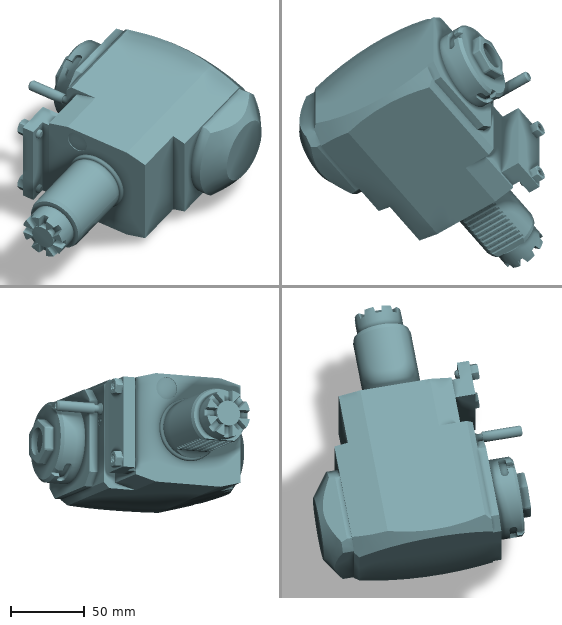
import cadquery as cq
import math


HALF_HEIGHT = 37.5
TAPER_ANGLE = 15
TAPER_START_X = 24.0
BACK_Y = 114.0
STEP_Y = 35.0
HOUSING_LEFT_X = -47.3
HOUSING_RIGHT_X = 48.2
HOUSING_LEFT_CHAMFER = 4.0
HOUSING_BACK_CHAMFER = 3.1
NECK_HALF_WIDTH = 39.0
CROWN_RADIUS = 116.5
CROWN_CENTER_X = -9.1
CROWN_BEVEL = 14.5

SPINDLE_Y = 80.0
PLATE_LEFT_X = -53.0
PLATE_FRONT_Y = 46.0
PLATE_CORNER = 8.5
COLLAR_LEFT_X = -70.6
COLLAR_RADIUS = 27.5
COLLAR_CHAMFER = 2.0
COLLAR_GAP = 0.7
COLLAR_GAP_DEPTH = 1.0
BAYONET_SLOTS = 3
BAYONET_FLOOR_RADIUS = 24.4
BAYONET_SLOT_WIDTH = 5.3
BAYONET_SLOT_X = -62.6
BAYONET_HALF_SPAN = 20
BAYONET_NOTCH_WIDTH = 6.0
HEX_LEFT_X = -77.2
HEX_FLATS = 27.1
HEX_CORNER_RADIUS = 15.3
HEX_CHAMFER = 0.5
HEX_BORE_RADIUS = 9.5
HEX_BORE_DEPTH = 4.4

COVER_RIGHT_X = 67.2
COVER_RIM_X = 55.7
COVER_RADIUS = 37.5
COVER_END_RADIUS = 21.8
COVER_HALF_HEIGHT = 29.7
COVER_TAPER_X = 51.7
COVER_BACK_Y = 110.0

SHANK_RADIUS = 20.0
SHANK_END_Y = -53.1
SHANK_CHAMFER_LENGTH = 3.0
SHANK_CHAMFER_DEPTH = 1.0
SHANK_ROOT_Y = -4.0
RING_RADIUS = 21.5
RING_WIDTH = 2.5
RING_FILLET = 1.6
RELIEF_RADIUS = 19.5
RACK_Z = -15.8
RACK_PITCH = 4.0
RACK_GROOVES = 10
RACK_FIRST_Y = -11.8
RACK_DEPTH = 1.0
RACK_OPEN_WIDTH = 2.7
RACK_FLOOR_WIDTH = 1.5

NUT_RADIUS = 16.0
NUT_BACK_Y = -54.0
NUT_FRONT_Y = -68.0
NUT_NECK_RADIUS = 12.7
NUT_CORE_RADIUS = 8.5
NUT_SLOTS = 8
NUT_SLOT_DEPTH = 4.5
NUT_SLOT_FLOOR = 4.0
NUT_SLOT_OPENING = 5.8

BAR_LEFT_X = PLATE_LEFT_X
BAR_LIP_X = -44.5
BAR_HALF_HEIGHT = 31.1
BAR_BACK_Y = 13.8
BAR_SHOULDER_Y = 0.5
BAR_FRONT_Y = -11.1
BOLT_Y = -5.0
BOLT_Z = 25.1
BOLT_FLATS = 10.0
BOLT_HEAD = 5.3
BOLT_CORNER_CHAMFER = 0.82
BOLT_TIP_RADIUS = 3.1
BOLT_TIP = 2.4
BOLT_TIP_CHAMFER = 1.0
BOLT_RECESS_RADIUS = 3.1
BOLT_RECESS_DEPTH = 0.5
BOLT_SOCKET_FLATS = 4.0
BOLT_SOCKET_DEPTH = 2.2

PIN_Y = 40.4
PIN_Z = 17.8
PIN_LEFT_X = -80.3
PIN_RIGHT_X = -53.0
PIN_RADIUS = 3.6
PIN_CHAMFER = 1.1
PIN_NECK_RADIUS = 2.5
PIN_SEAT_X = -49.7
PIN_SEAT_RADIUS = 4.2
PIN_BORE_RADIUS = 2.2
PIN_BORE_DEPTH = 0.5
PLUG_Z = 10.2
PLUG_RADIUS = 4.0
PLUG_DEPTH = 0.2
PLUG_HOLE_RADIUS = 1.1
PLUG_HOLE_DEPTH = 1.5
RECESS_X = -16.0
RECESS_Z = 27.7
RECESS_RADIUS = 7.6
RECESS_DEPTH = 0.5

OVERLAP = 1.0


def taper_drop(length):
    """Height lost over a length of tapered face."""
    return length * math.tan(math.radians(TAPER_ANGLE))


def spindle_plane(x, y=SPINDLE_Y, z=0):
    """Plane at x facing +X, with local x along Y and local y along Z."""
    return cq.Workplane("YZ", origin=(x, y, z))


def disc_x(x_start, x_end, radius, y=SPINDLE_Y, z=0):
    return spindle_plane(x_start, y, z).circle(radius).extrude(x_end - x_start)


def disc_y(y_start, y_end, radius, x=0, z=0):
    """Cylinder along Y; y_start is the end nearer -Y."""
    return cq.Workplane("XZ", origin=(x, y_end, z)).circle(radius).extrude(y_end - y_start)


def prism_y(points, y_start, y_end):
    """XZ outline extruded between two Y positions."""
    return cq.Workplane("XZ", origin=(0, y_end, 0)).polyline(points).close().extrude(y_end - y_start)


def mirrored_in_z(upper_points):
    """Closed outline from its upper half, listed left to right."""
    return upper_points + [(x, -z) for x, z in reversed(upper_points)]


def crown_limit(side):
    """Large bevelled drum that rounds the upper (+1) or lower (-1) back edge of the housing."""
    left_corner_z = HALF_HEIGHT - HOUSING_LEFT_CHAMFER
    center_z = side * (left_corner_z - CROWN_RADIUS)
    drum = disc_y(STEP_Y - OVERLAP, BACK_Y, CROWN_RADIUS + CROWN_BEVEL, CROWN_CENTER_X, center_z)
    return drum.faces(">Y").chamfer(CROWN_BEVEL)


def make_housing():
    right_z = HALF_HEIGHT - taper_drop(HOUSING_RIGHT_X - TAPER_START_X)
    main_outline = mirrored_in_z([
        (HOUSING_LEFT_X, HALF_HEIGHT - HOUSING_LEFT_CHAMFER),
        (HOUSING_LEFT_X + HOUSING_LEFT_CHAMFER, HALF_HEIGHT),
        (TAPER_START_X, HALF_HEIGHT),
        (HOUSING_RIGHT_X, right_z),
    ])
    main = prism_y(main_outline, STEP_Y, BACK_Y)
    main = main.faces(">X").edges(">Y").chamfer(HOUSING_BACK_CHAMFER)
    main = main.intersect(crown_limit(1)).intersect(crown_limit(-1))

    neck_z = HALF_HEIGHT - taper_drop(NECK_HALF_WIDTH - TAPER_START_X)
    neck_outline = mirrored_in_z([
        (-NECK_HALF_WIDTH, neck_z),
        (-TAPER_START_X, HALF_HEIGHT),
        (TAPER_START_X, HALF_HEIGHT),
        (NECK_HALF_WIDTH, neck_z),
    ])
    neck = prism_y(neck_outline, 0, STEP_Y)
    recess = disc_y(0, RECESS_DEPTH, RECESS_RADIUS, RECESS_X, RECESS_Z)
    return main.union(neck).cut(recess)


def make_plate():
    half_height = HALF_HEIGHT - HOUSING_LEFT_CHAMFER
    plate = cq.Workplane("XY").box(
        HOUSING_LEFT_X - PLATE_LEFT_X, BACK_Y - PLATE_FRONT_Y, 2 * half_height, centered=False
    ).translate((PLATE_LEFT_X, PLATE_FRONT_Y, -half_height))
    return plate.edges("|X").chamfer(PLATE_CORNER)


def bayonet_cut(angle):
    """Curved slot in the collar rim plus the notch joining it to the collar face."""
    outer = COLLAR_RADIUS + OVERLAP
    slot_left = BAYONET_SLOT_X - BAYONET_SLOT_WIDTH / 2
    end_angle = math.degrees(BAYONET_SLOT_WIDTH / 2 / COLLAR_RADIUS)
    sweep = math.radians(BAYONET_HALF_SPAN - end_angle)
    reach = 2 * outer
    wedge = [(0, 0), (reach, -reach * math.tan(sweep)), (reach, reach * math.tan(sweep))]
    ring = disc_x(slot_left, slot_left + BAYONET_SLOT_WIDTH, outer)
    ring = ring.cut(disc_x(slot_left, slot_left + BAYONET_SLOT_WIDTH, BAYONET_FLOOR_RADIUS))
    cut = ring.intersect(spindle_plane(slot_left).polyline(wedge).close().extrude(BAYONET_SLOT_WIDTH))
    for side in (-1, 1):
        end = cq.Workplane("XZ", origin=(BAYONET_SLOT_X, SPINDLE_Y + BAYONET_FLOOR_RADIUS, 0))
        end = end.circle(BAYONET_SLOT_WIDTH / 2).extrude(BAYONET_FLOOR_RADIUS - outer)
        end = end.rotate((0, SPINDLE_Y, 0), (1, SPINDLE_Y, 0), side * math.degrees(sweep))
        cut = cut.union(end)
    notch_depth = outer - BAYONET_FLOOR_RADIUS
    notch = cq.Workplane("XY").box(BAYONET_SLOT_X - COLLAR_LEFT_X, notch_depth, BAYONET_NOTCH_WIDTH)
    notch = notch.translate((
        (BAYONET_SLOT_X + COLLAR_LEFT_X) / 2,
        SPINDLE_Y + BAYONET_FLOOR_RADIUS + notch_depth / 2,
        0,
    ))
    return cut.union(notch).rotate((0, SPINDLE_Y, 0), (1, SPINDLE_Y, 0), angle)


def make_collar():
    gap_x = PLATE_LEFT_X - COLLAR_GAP
    collar = disc_x(COLLAR_LEFT_X, gap_x, COLLAR_RADIUS).faces("<X").chamfer(COLLAR_CHAMFER)
    for index in range(BAYONET_SLOTS):
        collar = collar.cut(bayonet_cut(index * 360 / BAYONET_SLOTS))
    core = disc_x(gap_x - OVERLAP, PLATE_LEFT_X + OVERLAP, COLLAR_RADIUS - COLLAR_GAP_DEPTH)
    return collar.union(core)


def make_hexagon():
    length = COLLAR_LEFT_X - HEX_LEFT_X + OVERLAP
    corner_diameter = HEX_FLATS / math.cos(math.pi / 6)
    hexagon = spindle_plane(HEX_LEFT_X).transformed(rotate=(0, 0, 30)).polygon(6, corner_diameter)
    hexagon = hexagon.extrude(length)
    rounding = disc_x(HEX_LEFT_X, HEX_LEFT_X + length, HEX_CORNER_RADIUS)
    hexagon = hexagon.intersect(rounding).faces("<X").chamfer(HEX_CHAMFER)
    return hexagon.cut(disc_x(HEX_LEFT_X, HEX_LEFT_X + HEX_BORE_DEPTH, HEX_BORE_RADIUS))


def make_cover():
    profile = [
        (HOUSING_RIGHT_X, 0),
        (HOUSING_RIGHT_X, COVER_RADIUS),
        (COVER_RIM_X, COVER_RADIUS),
        (COVER_RIGHT_X, COVER_END_RADIUS),
        (COVER_RIGHT_X, 0),
    ]
    dome = cq.Workplane("XY").polyline(profile).close().revolve(360, (0, 0, 0), (1, 0, 0))
    dome = dome.translate((0, SPINDLE_Y, 0))
    end_z = COVER_HALF_HEIGHT - taper_drop(COVER_RIGHT_X - COVER_TAPER_X)
    flats = mirrored_in_z([
        (HOUSING_RIGHT_X, COVER_HALF_HEIGHT),
        (COVER_TAPER_X, COVER_HALF_HEIGHT),
        (COVER_RIGHT_X, end_z),
    ])
    return dome.intersect(prism_y(flats, SPINDLE_Y - COVER_RADIUS, COVER_BACK_Y))


def make_shank():
    chamfer_y = SHANK_END_Y + SHANK_CHAMFER_LENGTH
    profile = (
        cq.Workplane("XY")
        .moveTo(0, OVERLAP)
        .lineTo(RELIEF_RADIUS, OVERLAP)
        .lineTo(RELIEF_RADIUS, -RING_WIDTH)
        .lineTo(SHANK_RADIUS, SHANK_ROOT_Y)
        .lineTo(SHANK_RADIUS, chamfer_y)
        .lineTo(SHANK_RADIUS - SHANK_CHAMFER_DEPTH, SHANK_END_Y)
        .lineTo(0, SHANK_END_Y)
        .close()
    )
    shank = profile.revolve(360, (0, 0, 0), (0, 1, 0))

    below_z = -SHANK_RADIUS - OVERLAP
    flat = [
        (SHANK_END_Y, RACK_Z),
        (SHANK_ROOT_Y - (SHANK_RADIUS + RACK_Z), RACK_Z),
        (SHANK_ROOT_Y + OVERLAP, below_z),
        (SHANK_END_Y, below_z),
    ]
    shank = shank.cut(cq.Workplane("YZ").polyline(flat).close().extrude(SHANK_RADIUS, both=True))

    groove = [
        (-RACK_OPEN_WIDTH / 2, RACK_Z),
        (-RACK_FLOOR_WIDTH / 2, RACK_Z + RACK_DEPTH),
        (RACK_FLOOR_WIDTH / 2, RACK_Z + RACK_DEPTH),
        (RACK_OPEN_WIDTH / 2, RACK_Z),
    ]
    for index in range(RACK_GROOVES):
        center = RACK_FIRST_Y - index * RACK_PITCH
        section = cq.Workplane("YZ", origin=(0, center, 0)).polyline(groove).close()
        shank = shank.cut(section.extrude(SHANK_RADIUS, both=True))

    ring = disc_y(-RING_WIDTH, OVERLAP, RING_RADIUS).faces("<Y").edges().fillet(RING_FILLET)
    return shank.union(ring)


def make_nut():
    nut = disc_y(NUT_FRONT_Y, NUT_BACK_Y, NUT_RADIUS)
    slot_floor_y = NUT_FRONT_Y + NUT_SLOT_DEPTH
    slot = [
        (-NUT_SLOT_OPENING / 2, NUT_FRONT_Y),
        (-NUT_SLOT_FLOOR / 2, slot_floor_y),
        (NUT_SLOT_FLOOR / 2, slot_floor_y),
        (NUT_SLOT_OPENING / 2, NUT_FRONT_Y),
    ]
    core = disc_y(NUT_FRONT_Y, slot_floor_y, NUT_CORE_RADIUS)
    cutter = cq.Workplane("XY").polyline(slot).close().extrude(NUT_RADIUS + OVERLAP).cut(core)
    for index in range(NUT_SLOTS):
        nut = nut.cut(cutter.rotate((0, 0, 0), (0, 1, 0), index * 360 / NUT_SLOTS))
    neck = disc_y(NUT_BACK_Y - OVERLAP, SHANK_END_Y + OVERLAP, NUT_NECK_RADIUS)
    return nut.union(neck)


def make_clamp_bar():
    outline = [
        (BAR_LEFT_X, BAR_BACK_Y),
        (-NECK_HALF_WIDTH + OVERLAP, BAR_BACK_Y),
        (-NECK_HALF_WIDTH + OVERLAP, BAR_SHOULDER_Y),
        (BAR_LIP_X, BAR_SHOULDER_Y),
        (BAR_LIP_X, BAR_FRONT_Y),
        (BAR_LEFT_X, BAR_FRONT_Y),
    ]
    return cq.Workplane("XY").polyline(outline).close().extrude(BAR_HALF_HEIGHT, both=True)


def make_bolt(z):
    head_x = BAR_LEFT_X - BOLT_HEAD
    corner_radius = BOLT_FLATS / 2 / math.cos(math.pi / 6)
    head = spindle_plane(head_x, BOLT_Y, z).polygon(6, 2 * corner_radius).extrude(BOLT_HEAD + OVERLAP)
    rounding = disc_x(head_x, BAR_LEFT_X + OVERLAP, corner_radius, BOLT_Y, z)
    head = head.intersect(rounding.faces("<X").chamfer(BOLT_CORNER_CHAMFER))
    head = head.cut(disc_x(head_x, head_x + BOLT_RECESS_DEPTH, BOLT_RECESS_RADIUS, BOLT_Y, z))
    socket_diameter = BOLT_SOCKET_FLATS / math.cos(math.pi / 6)
    socket = spindle_plane(head_x, BOLT_Y, z).polygon(6, socket_diameter).extrude(BOLT_SOCKET_DEPTH)
    tip = disc_x(BAR_LIP_X - OVERLAP, BAR_LIP_X + BOLT_TIP, BOLT_TIP_RADIUS, BOLT_Y, z)
    tip = tip.faces(">X").chamfer(BOLT_TIP_CHAMFER)
    return head.cut(socket).union(tip)


def make_coolant_pin():
    pin = disc_x(PIN_LEFT_X, PIN_RIGHT_X, PIN_RADIUS, PIN_Y, PIN_Z).faces("<X").chamfer(PIN_CHAMFER)
    neck = disc_x(PIN_RIGHT_X - OVERLAP, HOUSING_LEFT_X + OVERLAP, PIN_NECK_RADIUS, PIN_Y, PIN_Z)
    seat = disc_x(PIN_SEAT_X, HOUSING_LEFT_X + OVERLAP, PIN_SEAT_RADIUS, PIN_Y, PIN_Z)
    seat = seat.faces("<X").chamfer(PIN_SEAT_RADIUS - PIN_NECK_RADIUS)
    bore = disc_x(PIN_LEFT_X, PIN_LEFT_X + PIN_BORE_DEPTH, PIN_BORE_RADIUS, PIN_Y, PIN_Z)
    return pin.cut(bore).union(neck).union(seat)


def make_plug_cut():
    seat = disc_x(HOUSING_LEFT_X, HOUSING_LEFT_X + PLUG_DEPTH, PLUG_RADIUS, PIN_Y, PLUG_Z)
    hole = disc_x(HOUSING_LEFT_X, HOUSING_LEFT_X + PLUG_HOLE_DEPTH, PLUG_HOLE_RADIUS, PIN_Y, PLUG_Z)
    return seat.union(hole)


result = make_housing().cut(make_plug_cut())
for component in (
    make_plate(),
    make_collar(),
    make_hexagon(),
    make_cover(),
    make_shank(),
    make_nut(),
    make_clamp_bar(),
    make_bolt(BOLT_Z),
    make_bolt(-BOLT_Z),
    make_coolant_pin(),
):
    result = result.union(component)